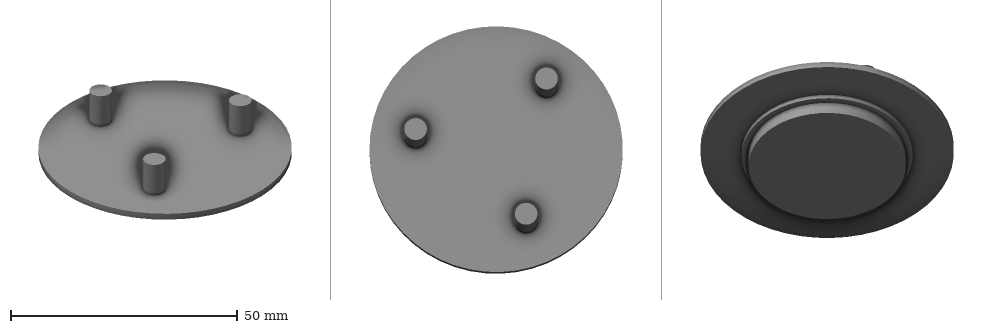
import cadquery as cq

total_height = 13.5
plate_diameter = 56.0
plate_thickness = 1.5
step_diameter = 37.8
step_height = 1.0
boss_diameter = 34.8
boss_height = 3.0
pin_diameter = 5.0
pin_count = 3
pin_circle_radius = 18.0
first_pin_angle = 90.0

step_bottom = boss_height
plate_bottom = step_bottom + step_height
plate_top = plate_bottom + plate_thickness
pin_height = total_height - plate_top


def disc(diameter, height, bottom):
    """Upright cylinder on the central axis, standing at the given level."""
    return cq.Workplane("XY").workplane(offset=bottom).circle(diameter / 2).extrude(height)


boss = disc(boss_diameter, boss_height, 0)
step = disc(step_diameter, step_height, step_bottom)
plate = disc(plate_diameter, plate_thickness, plate_bottom)

pins = (
    cq.Workplane("XY")
    .workplane(offset=plate_top)
    .polarArray(pin_circle_radius, first_pin_angle, 360, pin_count)
    .circle(pin_diameter / 2)
    .extrude(pin_height)
)

result = boss.union(step).union(plate).union(pins)